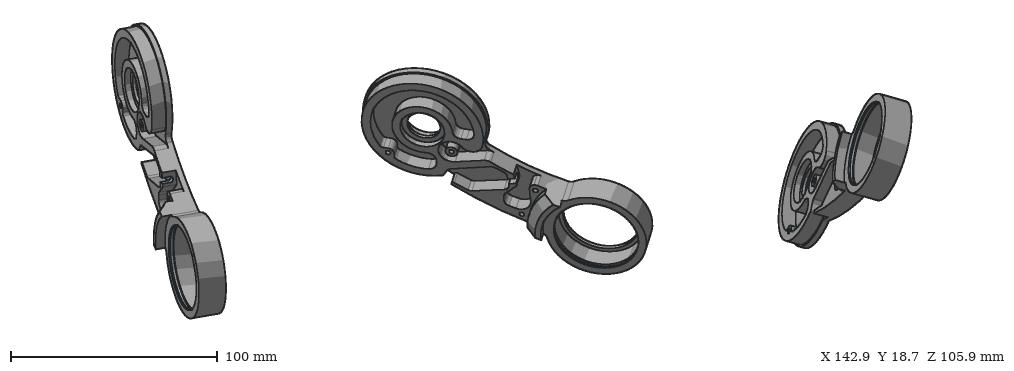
import cadquery as cq
import math


overall_length = 142.9
overall_height = 105.9

flange_height = 3.1
body_height = 10.3
ring_height = 13.9
wedge_height = 18.7

disc_radius = 62.2 / 2
step_radius = 30.1
disc_bore_radius = 16.5 / 2
disc_seat_radius = 11.0
disc_lip_bottom = 5.5
disc_lip_top = 7.1

ring_radius = 25.0
ring_center = (
    overall_length - disc_radius - ring_radius,
    disc_radius + ring_radius - overall_height,
)
ring_bore_radius = 19.0
ring_seat_radius = 21.0
ring_seat_floor = 2.0
snap_groove_radius = 44.5 / 2
snap_groove_width = 1.9
snap_groove_top = ring_height - 0.9

wedge_outer_radius = 34.0
wedge_top_radius = wedge_outer_radius - (wedge_height - ring_height)
wedge_inner_radius = 26.3

disc_blend_top = 3.5
disc_blend_bottom = 1.5
ring_blend = 3.6
step_end_fillet = 1.5

c_outer_radius = 25.7
c_inner_radius = 15.0
c_end_x = 7.0
c_end_z = -2.1
c_end_fillet = 4.0
c_tail_fillet = 4.6

screw_radius = 2.5 / 2
screw_depth = 7.1
boss_radius = 3.0
boss_root_fillet = 1.9
wall_end_fillet = 4.3
boss_end_fillet = 2.9
disc_screw = (-17.0, -18.7)
arm_screws = [(56.0, -29.1), (49.3, -46.3)]

pin_center = (14.5, -11.7)
pin_radius = 3.0
pin_pocket_radius = 6.6
lobe_radius = 5.7
arm_tilt = math.radians(15)

channel_radius = 3.0 / 2
channel_floor = 4.9
channel_center = (43.5, -25.6)
channel_length = 5.7

margin = 14.3
reach = 214.3


def sketch(height=0.0):
    """Workplane parallel to the rear face, facing forward."""
    return cq.Workplane("XZ", origin=(0, -height, 0))


def cylinder(center, radius, bottom, top):
    return sketch(bottom).center(*center).circle(radius).extrude(top - bottom)


def polar(center, radius, angle):
    return (center[0] + radius * math.cos(angle), center[1] + radius * math.sin(angle))


def toward(start, end, distance):
    """Point at a distance from start in the direction of end."""
    angle = math.atan2(end[1] - start[1], end[0] - start[0])
    return polar(start, distance, angle)


def rounded_prism(corners, bottom, top):
    """Prism over (x, z, radius) corners, each rounded by its radius."""
    outline = None
    for i, (x, z, radius) in enumerate(corners):
        corner = (x, z)
        before = corners[i - 1][:2]
        after = corners[(i + 1) % len(corners)][:2]
        to_before = math.atan2(before[1] - z, before[0] - x)
        to_after = math.atan2(after[1] - z, after[0] - x)
        half_angle = abs(math.remainder(to_after - to_before, 2 * math.pi)) / 2
        tangent_length = radius / math.tan(half_angle)
        start = toward(corner, before, tangent_length)
        end = toward(corner, after, tangent_length)
        outline = sketch(bottom).moveTo(*start) if outline is None else outline.lineTo(*start)
        if radius > 0:
            middle = ((start[0] + end[0]) / 2, (start[1] + end[1]) / 2)
            arc_depth = radius / math.sin(half_angle) - radius
            outline = outline.threePointArc(toward(corner, middle, arc_depth), end)
    return outline.close().extrude(top - bottom)


def fillet_at(solid, point, radius):
    """Round the straight edge along Y that is nearest to an (X, Z) point."""
    target = (point[0], -body_height / 2, point[1])
    edges = solid.edges("|Y").edges(cq.selectors.NearestToPointSelector(target))
    return edges.fillet(radius)


def full_outline():
    arm = (
        sketch()
        .moveTo(25.7, -9.7)
        .lineTo(31.3, -13.1)
        .threePointArc((48.0, -22.0), (74.6, -30.6))
        .lineTo(*ring_center)
        .lineTo(64.9, -54.6)
        .threePointArc((31.9, -42.7), (9.6, -30.5))
        .lineTo(7.1, -28.6)
        .close()
        .extrude(wedge_height)
    )
    disc = cylinder((0, 0), disc_radius, 0, wedge_height)
    ring = cylinder(ring_center, ring_radius, 0, wedge_height)
    body = disc.union(arm).union(ring)
    body = fillet_at(body, (29.0, -11.3), disc_blend_top)
    body = fillet_at(body, (8.6, -29.7), disc_blend_bottom)
    body = fillet_at(body, (72.2, -30.0), ring_blend)
    return fillet_at(body, (62.2, -53.9), ring_blend)


def height_envelope():
    cone = (
        sketch(ring_height)
        .center(*ring_center)
        .circle(wedge_outer_radius)
        .workplane(offset=wedge_height - ring_height)
        .circle(wedge_top_radius)
        .loft()
    )
    wedge = cone.cut(cylinder(ring_center, wedge_inner_radius, ring_height, wedge_height))
    low = cylinder((0, 0), reach, 0, body_height)
    high = cylinder(ring_center, wedge_outer_radius, 0, ring_height)
    return low.union(high).union(wedge)


def c_pocket():
    pocket = cylinder((0, 0), c_outer_radius, flange_height, body_height)
    pocket = pocket.cut(cylinder((0, 0), c_inner_radius, flange_height, body_height))
    gap = (
        sketch(flange_height)
        .moveTo(c_end_x, c_end_z)
        .rect(reach, -reach, centered=False)
        .extrude(body_height)
    )
    pocket = pocket.cut(gap)
    for radius in (c_inner_radius, c_outer_radius):
        end_x = math.sqrt(radius**2 - c_end_z**2)
        end_z = -math.sqrt(radius**2 - c_end_x**2)
        pocket = fillet_at(pocket, (end_x, c_end_z), c_end_fillet)
        pocket = fillet_at(pocket, (c_end_x, end_z), c_tail_fillet)

    corner_x = disc_screw[0] + boss_radius
    corner_z = disc_screw[1] + boss_radius
    boss = rounded_prism(
        [
            (corner_x, corner_z, boss_radius),
            (corner_x, -reach, 0),
            (-reach, -reach, 0),
            (-reach, corner_z, 0),
        ],
        flange_height,
        body_height,
    )
    pocket = pocket.cut(boss)
    root_x = -math.sqrt(c_outer_radius**2 - corner_z**2)
    root_z = -math.sqrt(c_outer_radius**2 - corner_x**2)
    pocket = fillet_at(pocket, (root_x, corner_z), boss_root_fillet)
    return fillet_at(pocket, (corner_x, root_z), boss_root_fillet)


def pin_pocket():
    from_axis = step_radius - lobe_radius
    from_pin = lobe_radius + pin_pocket_radius
    pin_distance = math.hypot(*pin_center)
    cosine = (from_axis**2 + pin_distance**2 - from_pin**2) / (2 * from_axis * pin_distance)
    lobe_angle = math.atan2(pin_center[1], pin_center[0]) + math.acos(cosine)
    lobe_center = polar((0, 0), from_axis, lobe_angle)

    pocket_to_lobe = toward(pin_center, lobe_center, pin_pocket_radius)
    lobe_to_step = polar((0, 0), step_radius, lobe_angle)
    wall_start = polar(pin_center, pin_pocket_radius, arm_tilt - math.pi / 2)
    wall_end = polar(wall_start, step_radius, arm_tilt)
    pocket = (
        sketch(flange_height)
        .moveTo(*pocket_to_lobe)
        .threePointArc((lobe_center[0], lobe_center[1] - lobe_radius), lobe_to_step)
        .lineTo(*polar((0, 0), step_radius + margin, lobe_angle))
        .lineTo(*wall_end)
        .lineTo(*wall_start)
        .threePointArc((pin_center[0] - pin_pocket_radius, pin_center[1]), pocket_to_lobe)
        .close()
        .extrude(body_height - flange_height)
    )
    return pocket.cut(cylinder(pin_center, pin_radius, flange_height, body_height))


def rim_step():
    step = cylinder((0, 0), disc_radius + margin, flange_height, body_height)
    step = step.cut(cylinder((0, 0), step_radius, flange_height, body_height))
    arm_sector = (
        sketch(flange_height)
        .polyline([(0, 0), (23.5, -57.2), (85.7, -57.2), (85.7, -18.3)])
        .close()
        .extrude(body_height)
    )
    return step.cut(arm_sector)


def large_arm_pocket():
    corners = [
        (12.9, -23.6, 2.9),
        (35.0, -17.5, 3.6),
        (41.7, -20.9, 2.9),
        (43.5, -30.9, 3.5),
        (23.5, -36.0, 2.7),
        (14.6, -31.6, 0.9),
        (14.0, -36.3, 0),
        (7.7, -33.1, 0),
    ]
    return rounded_prism(corners, flange_height, body_height)


def small_arm_pocket():
    corners = [
        (44.5, -17.1, 0),
        (46.7, -27.9, 0.6),
        (40.5, -34.7, 3.3),
        (40.5, -41.1, 3.5),
        (54.3, -45.3, 5.7),
        (52.9, -26.3, 2.9),
        (58.6, -24.6, 0),
        (58.6, -17.1, 0),
    ]
    return rounded_prism(corners, flange_height, body_height)


def cable_channel():
    axis_height = channel_floor + channel_radius
    depth = body_height - axis_height
    slot = (
        cq.Workplane("YZ", origin=(-channel_length / 2, -axis_height, 0))
        .circle(channel_radius)
        .extrude(channel_length)
    )
    opening = cq.Workplane("XY").box(channel_length, depth, 2 * channel_radius)
    slot = slot.union(opening.translate((0, -axis_height - depth / 2, 0)))
    slot = slot.rotate((0, 0, 0), (0, -1, 0), math.degrees(arm_tilt))
    return slot.translate((channel_center[0], 0, channel_center[1]))


result = full_outline().intersect(height_envelope())

pockets = rim_step().union(large_arm_pocket()).union(pin_pocket())
result = result.cut(pockets)
result = fillet_at(result, (11.0, -28.1), step_end_fillet)
result = fillet_at(result, (32.1, -13.6), wall_end_fillet)
result = result.cut(c_pocket()).cut(small_arm_pocket()).cut(cable_channel())
result = fillet_at(result, (56.9, -25.3), boss_end_fillet)

result = result.cut(cylinder((0, 0), disc_bore_radius, 0, body_height))
result = result.cut(cylinder((0, 0), disc_seat_radius, 0, disc_lip_bottom))
result = result.cut(cylinder((0, 0), disc_seat_radius, disc_lip_top, body_height))
result = result.cut(cylinder(ring_center, ring_bore_radius, 0, ring_height))
result = result.cut(cylinder(ring_center, ring_seat_radius, ring_seat_floor, ring_height))
snap_groove_bottom = snap_groove_top - snap_groove_width
result = result.cut(cylinder(ring_center, snap_groove_radius, snap_groove_bottom, snap_groove_top))

for screw in [disc_screw, pin_center] + arm_screws:
    result = result.cut(cylinder(screw, screw_radius, body_height - screw_depth, body_height))